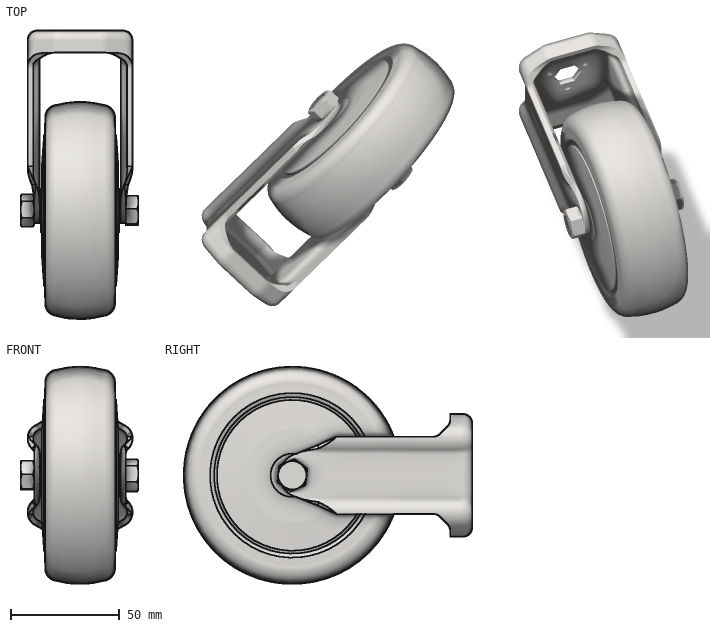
import cadquery as cq
import math


overall_length = 132.7
wheel_radius = 100.0 / 2

sheet = 2.5
fork_half_width = 24.2
fork_half_height = 28.3
base_y = overall_length - wheel_radius
base_bend = 4.5
web_x = 21.1
web_half_height = 10.2
rail_radius = 6.6
rail_z = 17.0
corner_angle = math.radians(30)

rim_depth = 10.2
rim_slope = 6.0
rim_fillet = 4.5
arm_half_height = 17.8
arm_end_y = 20.3
taper_y = 11.8
taper_z = 14.0
tip_start_y = 1.9
tip_start_z = 10.0
tip_y = -5.8
bevel_z = 12.2

hex_hole_flats = 12.0
small_hole_radius = 1.5
small_hole_circle = 10.0
small_hole_count = 3
small_hole_start = 30

crown_radius = 48.6
crown_half_width = 10.6
shoulder_x = 15.3
shoulder_radius = 45.7
sidewall_x = 16.0
sidewall_radius = 41.8
groove_outer_x = 16.2
groove_outer_radius = 37.8
groove_floor_x = 15.1
groove_floor_radius = 36.0
hub_rim_radius = 34.6
hub_rim_x = 16.6
hub_face_radius = 21.5
hub_face_x = 17.5
boss_radius = 10.0
boss_x = 18.0

bolt_radius = 4.0
bolt_chamfer = 0.7
hex_flats = 13.0
nut_height = 6.2
head_height = 5.7
nut_turn = -3.5
head_turn = -36.5
hex_chamfer_angle = math.radians(30)


def hex_corner(flats):
    """Corner radius of a hexagon given its width across flats."""
    return flats / math.sqrt(3)


def x_cylinder(radius, x_start, x_end):
    """Round bar along the axle between two X positions."""
    return cq.Workplane("YZ", origin=(x_start, 0, 0)).circle(radius).extrude(x_end - x_start)


def polar(center, radius, angle):
    """Point on a circle at an angle in radians."""
    return (center[0] + radius * math.cos(angle), center[1] + radius * math.sin(angle))


def fork_section():
    """Outline of the fork in X-Z: a cut-cornered plate whose sides dip between two rails."""
    rail_x = fork_half_width - rail_radius
    rise = rail_z - web_half_height
    dip = web_x - rail_x
    foot_radius = (dip**2 + rise**2 - rail_radius**2) / (2 * (rail_radius - dip))
    foot_angle = math.atan2(rise, dip + foot_radius)

    rail = (rail_x, rail_z)
    foot = (web_x + foot_radius, web_half_height)
    normal = math.pi / 2 - corner_angle
    rail_top = polar(rail, rail_radius, normal)
    rail_middle = polar(rail, rail_radius, 0)
    rail_foot = polar(rail, rail_radius, -foot_angle)
    foot_middle = polar(foot, foot_radius, math.pi - foot_angle / 2)
    web_top = (web_x, web_half_height)

    corner_z = fork_half_height - rail_radius
    slope_end_z = corner_z + rail_radius * math.sin(normal)
    slope_end_x = rail_top[0] - (slope_end_z - rail_top[1]) / math.tan(corner_angle)
    corner = (slope_end_x - rail_radius * math.cos(normal), corner_z)
    corner_end = polar(corner, rail_radius, normal)
    corner_middle = polar(corner, rail_radius, (normal + math.pi / 2) / 2)
    corner_start = polar(corner, rail_radius, math.pi / 2)

    quarter = (
        cq.Workplane("XZ", origin=(0, base_y, 0))
        .moveTo(0, fork_half_height)
        .lineTo(*corner_start)
        .threePointArc(corner_middle, corner_end)
        .lineTo(*rail_top)
        .threePointArc(rail_middle, rail_foot)
        .threePointArc(foot_middle, web_top)
        .lineTo(web_x, 0)
    )
    return quarter.mirrorX().mirrorY()


def fork_blank():
    """Deep pressed cup with the fork section, closed by the base plate."""
    depth = base_y - tip_y
    outside = fork_section().extrude(depth).faces(">Y").edges().fillet(base_bend)
    cavity = fork_section().offset2D(-sheet).extrude(depth).faces(">Y").edges()
    cavity = cavity.fillet(base_bend - sheet)
    return outside.cut(cavity.translate((0, -sheet, 0)))


def fork_side_outline():
    """Prism along X holding the part of the cup that remains: rim, arms and rounded tips."""
    rim_y = base_y - rim_depth
    slope_y = rim_y - rim_slope
    slope_z = arm_half_height + rim_slope
    outline = (
        cq.Workplane("YZ")
        .moveTo(base_y, fork_half_height)
        .lineTo(rim_y, fork_half_height)
        .lineTo(rim_y, slope_z)
        .lineTo(slope_y, arm_half_height)
        .lineTo(arm_end_y, arm_half_height)
        .lineTo(taper_y, taper_z)
        .lineTo(tip_start_y, tip_start_z)
        .threePointArc((tip_y, 0), (tip_start_y, -tip_start_z))
        .lineTo(taper_y, -taper_z)
        .lineTo(arm_end_y, -arm_half_height)
        .lineTo(slope_y, -arm_half_height)
        .lineTo(rim_y, -slope_z)
        .lineTo(rim_y, -fork_half_height)
        .lineTo(base_y, -fork_half_height)
        .close()
    )
    prism = outline.extrude(fork_half_width, both=True)
    margin = rim_fillet / 2
    slope_ends = cq.selectors.BoxSelector(
        (-margin, slope_y - margin, -slope_z - margin),
        (margin, rim_y + margin, slope_z + margin),
    )
    return prism.edges("|X").edges(slope_ends).fillet(rim_fillet)


def rail_bevel():
    """Prism that trims the +X +Z rail square to its sloping sheet where the arm tapers."""
    across = cq.Plane(origin=(0, 0, 0), xDir=(0, 1, 0), normal=(1, 0, -1))
    foot_x = fork_half_width - rail_radius + math.sqrt(rail_radius**2 - (rail_z - bevel_z) ** 2)
    edge = [
        (fork_half_width, arm_end_y, arm_half_height),
        (foot_x, taper_y, bevel_z),
        (web_x, tip_start_y, web_half_height),
        (web_x, tip_y, web_half_height),
    ]
    margin = cq.Vector(fork_half_width, 0, fork_half_width)
    clear = [cq.Vector(edge[-1]) + margin, cq.Vector(edge[0]) + margin]
    profile = [across.toLocalCoords(cq.Vector(point)) for point in edge + clear]
    outline = cq.Workplane(across).polyline([(point.x, point.y) for point in profile]).close()
    return outline.extrude(fork_half_width, both=True)


def make_fork():
    fork = fork_blank().intersect(fork_side_outline())
    base = cq.Workplane("XZ", origin=(0, base_y, 0))
    hex_hole = base.polygon(6, 2 * hex_corner(hex_hole_flats)).extrude(sheet)
    places = base.polarArray(small_hole_circle, small_hole_start, 360, small_hole_count)
    small_holes = places.circle(small_hole_radius).extrude(sheet)
    fork = fork.cut(hex_hole).cut(small_holes)
    fork = fork.cut(x_cylinder(bolt_radius, -fork_half_width, fork_half_width))
    upper_bevel = rail_bevel()
    for bevel in (upper_bevel, upper_bevel.mirror("XY")):
        fork = fork.cut(bevel).cut(bevel.mirror("YZ"))
    return fork


def make_wheel():
    """Symmetric profile (X, radius) revolved about the axle."""
    side = [
        (groove_outer_x, groove_outer_radius),
        (groove_floor_x, groove_floor_radius),
        (groove_floor_x, hub_rim_radius),
        (hub_rim_x, hub_rim_radius),
        (hub_face_x, hub_face_radius),
        (hub_face_x, boss_radius),
        (boss_x, boss_radius),
        (boss_x, bolt_radius),
    ]
    far_side = [(-x, radius) for x, radius in reversed(side)]
    profile = (
        cq.Workplane("XY")
        .moveTo(-crown_half_width, crown_radius)
        .threePointArc((0, wheel_radius), (crown_half_width, crown_radius))
        .threePointArc((shoulder_x, shoulder_radius), (sidewall_x, sidewall_radius))
        .polyline(side + far_side, includeCurrent=True)
        .lineTo(-sidewall_x, sidewall_radius)
        .threePointArc((-shoulder_x, shoulder_radius), (-crown_half_width, crown_radius))
        .close()
    )
    return profile.revolve(360, (0, 0, 0), (1, 0, 0))


def hex_block(height, turn, chamfered_faces):
    """Hexagon standing on the +X web face, the corners of the chosen faces turned down to a cone."""
    corner = hex_corner(hex_flats)
    chamfer = (corner - hex_flats / 2) * math.tan(hex_chamfer_angle)
    block = (
        cq.Workplane("YZ", origin=(web_x, 0, 0))
        .polygon(6, 2 * corner)
        .extrude(height)
        .rotate((0, 0, 0), (1, 0, 0), turn)
    )
    turned = x_cylinder(corner, web_x, web_x + height).faces(chamfered_faces)
    return block.intersect(turned.chamfer(chamfer, corner - hex_flats / 2))


def make_bolt():
    nut_end = -(web_x + nut_height)
    shank = x_cylinder(bolt_radius, nut_end, web_x).faces("<X").chamfer(bolt_chamfer)
    return shank.union(hex_block(head_height, head_turn, ">X"))


def make_nut():
    nut = hex_block(nut_height, nut_turn, "|X").mirror("YZ")
    return nut.cut(x_cylinder(bolt_radius, -(web_x + nut_height), -web_x))


fork = make_fork()
wheel = make_wheel()
bolt = make_bolt()
nut = make_nut()

result = cq.Compound.makeCompound([fork.val(), wheel.val(), bolt.val(), nut.val()])